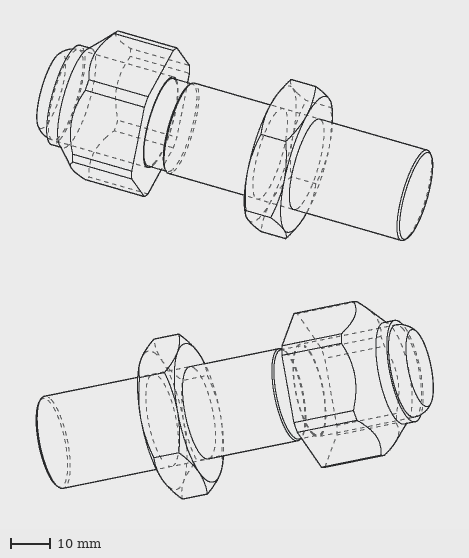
import cadquery as cq
import math

LENGTH = 100.0
STUD_RADIUS = 12.0
NECK_RADIUS = 11.6
NECK_END = 35.7
STEP_CHAMFER = 0.4
END_CHAMFER = 0.5
DOME_LENGTH = 4.0
DOME_ARC_RADIUS = 5.0
DOME_ARC_CENTER = STUD_RADIUS - DOME_ARC_RADIUS
TIP_FACE_RADIUS = DOME_ARC_CENTER + math.sqrt(DOME_ARC_RADIUS**2 - DOME_LENGTH**2)

ACROSS_FLATS = 36.0
ACROSS_CORNERS = ACROSS_FLATS / math.cos(math.radians(30))

COLLAR_RADIUS = 13.2
COLLAR_START = DOME_LENGTH
COLLAR_LENGTH = 3.0
CONE_START = COLLAR_START + COLLAR_LENGTH
CAP_END = 30.0
CAP_CORNER_RADIUS = 20.0
CONE_END = CONE_START + CAP_CORNER_RADIUS - COLLAR_RADIUS

LOCK_CHAMFER_ANGLE = math.radians(30)
LOCK_START = 60.0
LOCK_WIDTH = 10.0
LOCK_END = LOCK_START + LOCK_WIDTH
LOCK_FACE_RADIUS = ACROSS_FLATS / 2
LOCK_CORNER_RADIUS = ACROSS_CORNERS / 2
LOCK_CHAMFER = (LOCK_CORNER_RADIUS - LOCK_FACE_RADIUS) * math.tan(LOCK_CHAMFER_ANGLE)


def revolve_about_x(profile):
    """Turn a closed (X, radius) profile around the X axis."""
    return profile.close().revolve(360, (0, 0, 0), (1, 0, 0))


def hex_bar(start, end):
    """Hexagonal bar along X with two corners on the Y axis."""
    return (
        cq.Workplane("YZ", origin=(start, 0, 0))
        .polygon(6, ACROSS_CORNERS)
        .extrude(end - start)
    )


def cylinder(start, end, radius):
    """Cylinder along X."""
    return cq.Workplane("YZ", origin=(start, 0, 0)).circle(radius).extrude(end - start)


def make_stud():
    """Stud with a domed tip tangent to the shank and a slim neck behind the cap nut."""
    profile = (
        cq.Workplane("XZ")
        .lineTo(0, TIP_FACE_RADIUS)
        .radiusArc((DOME_LENGTH, STUD_RADIUS), DOME_ARC_RADIUS)
        .lineTo(CAP_END, STUD_RADIUS)
        .lineTo(CAP_END, NECK_RADIUS)
        .lineTo(NECK_END - STEP_CHAMFER, NECK_RADIUS)
        .lineTo(NECK_END, STUD_RADIUS)
        .lineTo(LENGTH - END_CHAMFER, STUD_RADIUS)
        .lineTo(LENGTH, STUD_RADIUS - END_CHAMFER)
        .lineTo(LENGTH, 0)
    )
    return revolve_about_x(profile)


def make_cap_nut():
    """Cap nut around the front of the stud, behind its domed tip."""
    envelope = revolve_about_x(
        cq.Workplane("XZ")
        .moveTo(CONE_START, 0)
        .lineTo(CONE_START, COLLAR_RADIUS)
        .lineTo(CONE_END, CAP_CORNER_RADIUS)
        .lineTo(CAP_END, CAP_CORNER_RADIUS)
        .lineTo(CAP_END, 0)
    )
    head = hex_bar(CONE_START, CAP_END).intersect(envelope)
    collar = cylinder(COLLAR_START, CONE_START, COLLAR_RADIUS)
    return head.union(collar).cut(cylinder(COLLAR_START, CAP_END, STUD_RADIUS))


def make_lock_nut():
    """Lock nut on the shank of the stud."""
    envelope = revolve_about_x(
        cq.Workplane("XZ")
        .moveTo(LOCK_START, 0)
        .lineTo(LOCK_START, LOCK_FACE_RADIUS)
        .lineTo(LOCK_START + LOCK_CHAMFER, LOCK_CORNER_RADIUS)
        .lineTo(LOCK_END - LOCK_CHAMFER, LOCK_CORNER_RADIUS)
        .lineTo(LOCK_END, LOCK_FACE_RADIUS)
        .lineTo(LOCK_END, 0)
    )
    blank = hex_bar(LOCK_START, LOCK_END).intersect(envelope)
    return blank.cut(cylinder(LOCK_START, LOCK_END, STUD_RADIUS))


stud = make_stud()
cap_nut = make_cap_nut()
lock_nut = make_lock_nut()

result = cq.Compound.makeCompound([stud.val(), cap_nut.val(), lock_nut.val()])